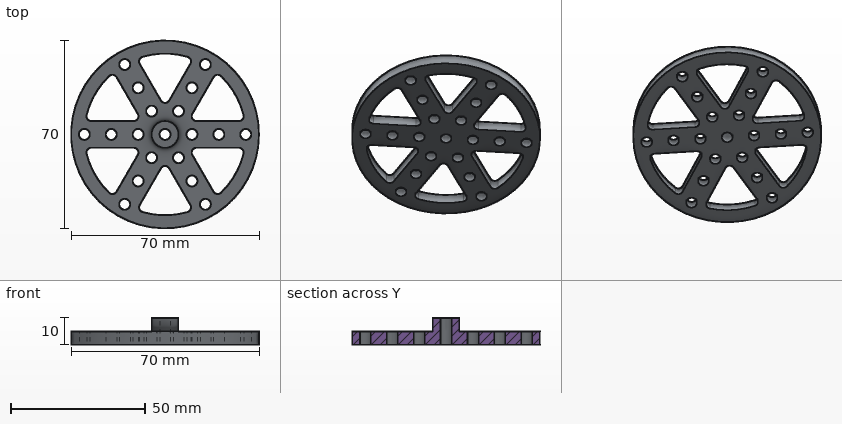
import cadquery as cq
import math

wheel_diameter = 70.0
total_height = 10.0
disc_thickness = total_height / 2
hub_diameter = 10.0
hole_diameter = 4.0
hole_pitch = 10.0
holes_per_spoke = 3
spoke_count = 6
spoke_width = 10.0
window_outer_radius = holes_per_spoke * hole_pitch
window_corner_radius = 1.75

spoke_angle = 360 / spoke_count


def make_window():
    """Sector between two spokes, pointing along +X, with rounded corners."""
    half_angle = math.radians(spoke_angle / 2)
    half_width = spoke_width / 2
    apex_x = half_width / math.sin(half_angle)
    corner_angle = half_angle - math.asin(half_width / window_outer_radius)
    corner_x = window_outer_radius * math.cos(corner_angle)
    corner_y = window_outer_radius * math.sin(corner_angle)
    return (
        cq.Workplane("XY")
        .moveTo(apex_x, 0)
        .lineTo(corner_x, -corner_y)
        .threePointArc((window_outer_radius, 0), (corner_x, corner_y))
        .close()
        .extrude(disc_thickness)
        .edges("|Z")
        .fillet(window_corner_radius)
    )


disc = cq.Workplane("XY").circle(wheel_diameter / 2).extrude(disc_thickness)
hub = cq.Workplane("XY").circle(hub_diameter / 2).extrude(total_height)
wheel = disc.union(hub)

window = make_window()
for index in range(spoke_count):
    angle = (index + 0.5) * spoke_angle
    wheel = wheel.cut(window.rotate((0, 0, 0), (0, 0, 1), angle))

hole_centers = [(0, 0)]
for index in range(spoke_count):
    angle = math.radians(index * spoke_angle)
    for step in range(1, holes_per_spoke + 1):
        radius = step * hole_pitch
        hole_centers.append((radius * math.cos(angle), radius * math.sin(angle)))

holes = (
    cq.Workplane("XY")
    .pushPoints(hole_centers)
    .circle(hole_diameter / 2)
    .extrude(total_height)
)

result = wheel.cut(holes)